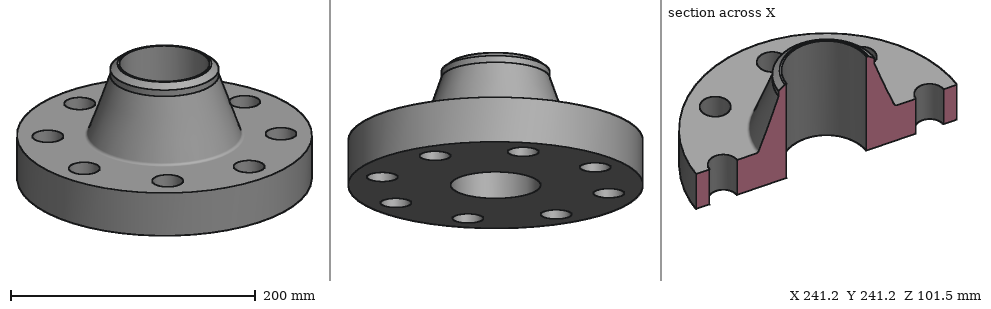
import cadquery as cq
import math

flange_diameter = 241.2
flange_thickness = 38.0
total_height = 101.5
bore_diameter = 73.5

bolt_count = 8
bolt_hole_diameter = 25.3
bolt_circle_diameter = 190.5

hub_base_diameter = 127.0
hub_root_fillet = 3.0

weld_end_diameter = 88.8
weld_end_height = 10.1
land_width = 1.7
bevel_angle = 37.5

weld_end_radius = weld_end_diameter / 2
land_radius = bore_diameter / 2 + land_width
bevel_height = (weld_end_radius - land_radius) * math.tan(math.radians(bevel_angle))
hub_top = total_height - weld_end_height


def make_flange_plate():
    return cq.Workplane("XY").circle(flange_diameter / 2).extrude(flange_thickness)


def make_neck():
    """Revolve the hub, collar and bevel about Z as one solid starting at the flange's underside."""
    hub_base_radius = hub_base_diameter / 2
    profile = (
        cq.Workplane("XZ")
        .moveTo(0, 0)
        .lineTo(hub_base_radius, 0)
        .lineTo(hub_base_radius, flange_thickness)
        .lineTo(weld_end_radius, hub_top)
        .lineTo(weld_end_radius, total_height - bevel_height)
        .lineTo(land_radius, total_height)
        .lineTo(0, total_height)
        .close()
    )
    return profile.revolve(360, (0, 0, 0), (0, 1, 0))


def fillet_hub_root(body):
    hub_root_edge = cq.selectors.RadiusNthSelector(-2)
    return body.edges("%CIRCLE").edges(hub_root_edge).fillet(hub_root_fillet)


def cut_bore(body):
    bore = cq.Workplane("XY").circle(bore_diameter / 2).extrude(total_height)
    return body.cut(bore)


def cut_bolt_holes(body):
    holes = (
        cq.Workplane("XY")
        .polarArray(radius=bolt_circle_diameter / 2, startAngle=0, angle=360, count=bolt_count)
        .circle(bolt_hole_diameter / 2)
        .extrude(flange_thickness)
    )
    return body.cut(holes)


body = make_flange_plate().union(make_neck())
body = fillet_hub_root(body)
body = cut_bore(body)
result = cut_bolt_holes(body)